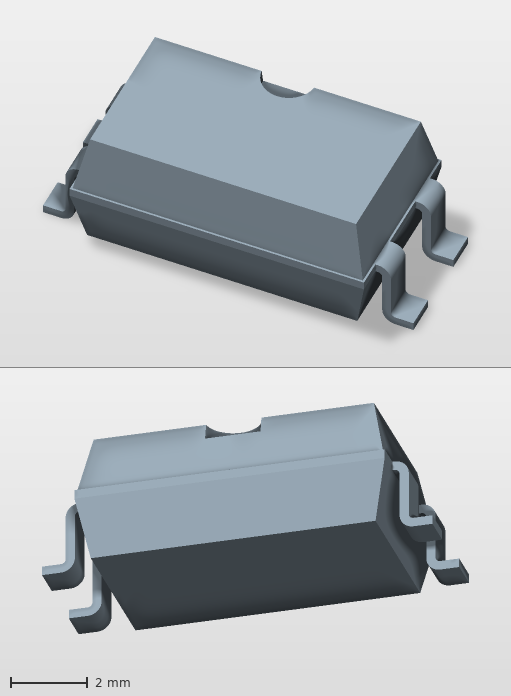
import cadquery as cq
import math

body_length = 8.4
body_width = 4.93
overall_height = 3.6
standoff = 0.1
draft_angle = 12.0
ledge = 0.06

lead_span = 10.57
lead_width = 0.93
lead_pitch = 2.54
lead_thickness = 0.25
shank_span = 9.29
inner_bend_radius = 0.13
outer_bend_radius = inner_bend_radius + lead_thickness
lead_embed = 0.3

band_thickness = lead_thickness
half_height = (overall_height - standoff - band_thickness) / 2
band_bottom = standoff + half_height
band_top = band_bottom + band_thickness

notch_radius = 0.75
notch_depth = 0.45
notch_center_offset = 0.07
top_inset = ledge + half_height * math.tan(math.radians(draft_angle))
notch_center_y = body_width / 2 - top_inset + notch_center_offset


def make_body():
    band = (
        cq.Workplane("XY", origin=(0, 0, band_bottom))
        .rect(body_length, body_width)
        .extrude(band_thickness)
    )
    upper = (
        cq.Workplane("XY", origin=(0, 0, band_top))
        .rect(body_length - 2 * ledge, body_width - 2 * ledge)
        .extrude(half_height, taper=draft_angle)
    )
    lower = (
        cq.Workplane("XY", origin=(0, 0, band_bottom))
        .rect(body_length, body_width)
        .extrude(-half_height, taper=draft_angle)
    )
    return band.union(upper).union(lower)


def make_notch():
    """Cutter: a round end inside the body, straight-sided from the arc centre out past +Y."""
    floor = cq.Workplane("XY", origin=(0, notch_center_y, overall_height - notch_depth))
    round_end = floor.circle(notch_radius).extrude(notch_depth)
    open_end = (
        floor.rect(2 * notch_radius, body_width / 2 - notch_center_y, centered=(True, False))
        .extrude(notch_depth)
    )
    return round_end.union(open_end)


def make_lead():
    """Lead on the +X side, centred on Y = 0, with a foot on Z = 0."""
    buried_x = body_length / 2 - lead_embed
    toe_x = lead_span / 2
    outer_x = shank_span / 2
    inner_x = outer_x - lead_thickness
    profile = (
        cq.Workplane("XZ")
        .moveTo(buried_x, band_bottom)
        .lineTo(buried_x, band_top)
        .lineTo(outer_x - outer_bend_radius, band_top)
        .radiusArc((outer_x, band_top - outer_bend_radius), outer_bend_radius)
        .lineTo(outer_x, outer_bend_radius)
        .radiusArc((outer_x + inner_bend_radius, lead_thickness), -inner_bend_radius)
        .lineTo(toe_x, lead_thickness)
        .lineTo(toe_x, 0)
        .lineTo(inner_x + outer_bend_radius, 0)
        .radiusArc((inner_x, outer_bend_radius), outer_bend_radius)
        .lineTo(inner_x, band_top - outer_bend_radius)
        .radiusArc((inner_x - inner_bend_radius, band_bottom), -inner_bend_radius)
        .close()
    )
    return profile.extrude(lead_width / 2, both=True)


result = make_body().cut(make_notch())
right_lead = make_lead()
left_lead = right_lead.mirror("YZ")
for lead_y in (-lead_pitch / 2, lead_pitch / 2):
    for lead in (left_lead, right_lead):
        result = result.union(lead.translate((0, lead_y, 0)))